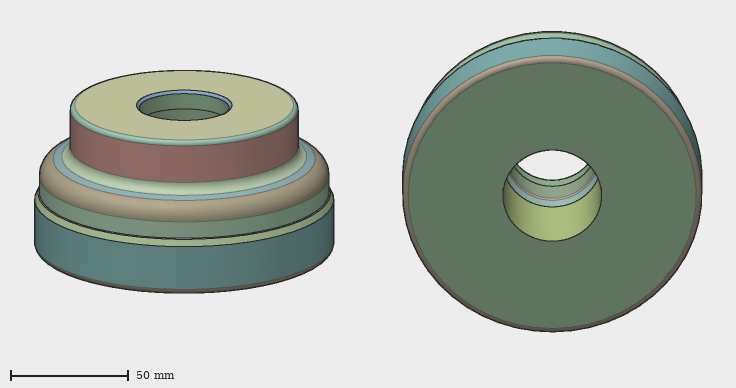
import cadquery as cq
import math

total_height = 63.5

base_radius = 63.5
base_edge_fillet = 2.4
rim_bevel_width = 1.45
rim_bevel_height = 2.8
rim_height = 24.3
shoulder_slope = math.radians(30)

skirt_radius = 61.5
dome_start_height = 31.9
dome_fillet = 7.94
neck_fillet = 4.76
neck_top_height = 45.2
hub_radius = 48.4
hub_edge_fillet = 2.0
cap_thickness = 8.0

bore_radius = 19.05
mouth_chamfer = 1.2
flare_top_height = 42.55
upper_flare_width = 0.35
upper_flare_height = 1.65
lower_flare_width = 1.55
lower_flare_height = 3.45

rim_top_radius = base_radius - rim_bevel_width
seat_height = rim_height + (rim_top_radius - skirt_radius) * math.tan(shoulder_slope)
boss_radius = hub_radius - cap_thickness
boss_height = total_height - cap_thickness

slope_angle = 15
blend_turn = 90 - slope_angle


def polar_point(center, radius, angle):
    """Point at the given angle in degrees on a circle in the (radius, height) plane."""
    turn = math.radians(angle)
    return (center[0] + radius * math.cos(turn), center[1] + radius * math.sin(turn))


def add_arc(outline, center, radius, start_angle, end_angle):
    """Run straight to the start of an arc, then follow the arc to its end."""
    start = polar_point(center, radius, start_angle)
    middle = polar_point(center, radius, (start_angle + end_angle) / 2)
    end = polar_point(center, radius, end_angle)
    return outline.lineTo(*start).threePointArc(middle, end)


def turn_about_z(outline):
    """Close a half section and revolve it a full turn about Z."""
    return outline.close().revolve(360, (0, 0, 0), (0, 1, 0))


def make_base():
    """Rim with a bevelled top, a central boss and a bore that flares downward."""
    upper_flare_end = flare_top_height - upper_flare_height
    lower_flare_end = upper_flare_end - lower_flare_height
    upper_flare_radius = bore_radius + upper_flare_width
    lower_bore_radius = upper_flare_radius + lower_flare_width
    edge_center = (base_radius - base_edge_fillet, base_edge_fillet)

    outline = cq.Workplane("XZ").moveTo(lower_bore_radius, 0)
    outline = add_arc(outline, edge_center, base_edge_fillet, -90, 0)
    outline = (
        outline.lineTo(base_radius, rim_height - rim_bevel_height)
        .lineTo(rim_top_radius, rim_height)
        .lineTo(skirt_radius, seat_height)
        .lineTo(boss_radius, seat_height)
        .lineTo(boss_radius, boss_height)
        .lineTo(bore_radius, boss_height)
        .lineTo(bore_radius, flare_top_height)
        .lineTo(upper_flare_radius, upper_flare_end)
        .lineTo(lower_bore_radius, lower_flare_end)
    )
    return turn_about_z(outline)


def make_cap():
    """Domed cover that fits over the boss and sits on the shoulder of the base."""
    dome_center = (skirt_radius - dome_fillet, dome_start_height)
    neck_center = (hub_radius + neck_fillet, neck_top_height)
    hub_edge_center = (hub_radius - hub_edge_fillet, total_height - hub_edge_fillet)

    outline = cq.Workplane("XZ").moveTo(boss_radius, seat_height).lineTo(skirt_radius, seat_height)
    outline = add_arc(outline, dome_center, dome_fillet, 0, blend_turn)
    outline = add_arc(outline, neck_center, neck_fillet, 180 + blend_turn, 180)
    outline = add_arc(outline, hub_edge_center, hub_edge_fillet, 0, 90)
    outline = (
        outline.lineTo(bore_radius + mouth_chamfer, total_height)
        .lineTo(bore_radius, total_height - mouth_chamfer)
        .lineTo(bore_radius, boss_height)
        .lineTo(boss_radius, boss_height)
    )
    return turn_about_z(outline)


base = make_base()
cap = make_cap()

result = cq.Compound.makeCompound([base.val(), cap.val()])